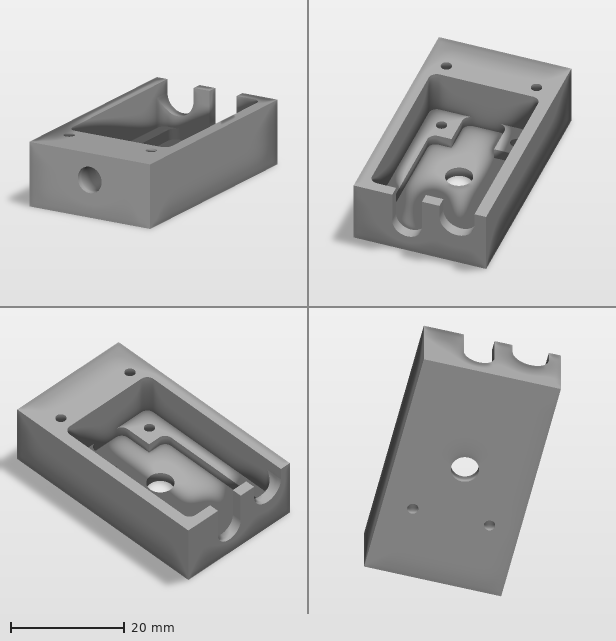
import cadquery as cq
import math

width = 25.0
length = 43.5
height = 12.0
centre_x = width / 2

back_wall = 2.0
front_wall = 9.6
pocket_width = 20.6
pocket_depth = 8.1
corner_radius = 1.5
pocket_back_y = length - back_wall

floor_thickness = 1.9
recess_depth = height - floor_thickness
recess_width = 16.0
recess_front_y = 16.5
channel_width = 8.0

floor_hole_diameter = 5.0
floor_hole_y = 23.5
ledge_hole_diameter = 2.01
ledge_hole_spacing = 14.0
ledge_hole_y = 13.5
cover_hole_diameter = 2.01
cover_hole_spacing = 17.0
cover_hole_y = 7.0
cover_hole_depth = 6.0

front_hole_diameter = 4.92
front_hole_z = 7.0
front_hole_depth = 6.0

drill_point_angle = 118.0
downward = (0, 0, -1)
backward = (0, 1, 0)

large_slot_width = 6.6
large_slot_x = (width - pocket_width + large_slot_width) / 2
large_slot_axis_z = 9.5
small_slot_width = 5.6
small_slot_offset = 2.4
small_slot_x = centre_x + small_slot_offset
small_slot_axis_z = 6.0


def open_box(box_width, front_y, back_y, depth):
    """Box centred across the block, sunk from the top face to a depth."""
    box_length = back_y - front_y
    return (
        cq.Workplane("XY")
        .box(box_width, box_length, depth, centered=(True, False, False))
        .translate((centre_x, front_y, height - depth))
    )


def drilled_hole(diameter, depth, origin, direction):
    """Blind hole: a cylinder of the given depth that ends in a drill point."""
    radius = diameter / 2
    point_length = radius / math.tan(math.radians(drill_point_angle / 2))
    start = cq.Vector(*origin)
    axis = cq.Vector(*direction)
    barrel = cq.Solid.makeCylinder(radius, depth, start, axis)
    point = cq.Solid.makeCone(radius, 0, point_length, start + axis * depth, axis)
    return cq.Workplane(obj=barrel.fuse(point))


def through_hole(diameter, x, y):
    """Vertical hole through the full height."""
    return cq.Workplane("XY").center(x, y).circle(diameter / 2).extrude(height)


def back_slot(slot_width, x, axis_z):
    """Slot through the back wall, open at the top, with a half-round bottom."""
    radius = slot_width / 2
    slot_length = back_wall + corner_radius
    return (
        cq.Workplane("XZ", origin=(x, length, 0))
        .moveTo(-radius, height)
        .lineTo(-radius, axis_z)
        .threePointArc((0, axis_z - radius), (radius, axis_z))
        .lineTo(radius, height)
        .close()
        .extrude(slot_length)
    )


def pocket():
    """Upper pocket, recess and channel as one cutting body."""
    upper = open_box(pocket_width, front_wall, pocket_back_y, pocket_depth)
    upper = upper.edges("|Z").fillet(corner_radius)
    recess = open_box(recess_width, recess_front_y, pocket_back_y, recess_depth)
    recess = recess.edges("|Z").fillet(corner_radius)
    channel_back_y = recess_front_y + corner_radius
    channel = open_box(channel_width, front_wall, channel_back_y, recess_depth)
    channel = channel.edges("|Z and <Y").fillet(corner_radius)
    return upper.union(recess).union(channel)


result = cq.Workplane("XY").box(width, length, height, centered=False)
result = result.cut(pocket())
result = result.cut(back_slot(large_slot_width, large_slot_x, large_slot_axis_z))
result = result.cut(back_slot(small_slot_width, small_slot_x, small_slot_axis_z))
result = result.cut(through_hole(floor_hole_diameter, centre_x, floor_hole_y))

for side in (-1, 1):
    ledge_hole_x = centre_x + side * ledge_hole_spacing / 2
    cover_hole_x = centre_x + side * cover_hole_spacing / 2
    cover_hole_top = (cover_hole_x, cover_hole_y, height)
    result = result.cut(through_hole(ledge_hole_diameter, ledge_hole_x, ledge_hole_y))
    cover_hole = drilled_hole(cover_hole_diameter, cover_hole_depth, cover_hole_top, downward)
    result = result.cut(cover_hole)

front_hole_mouth = (centre_x, 0, front_hole_z)
front_hole = drilled_hole(front_hole_diameter, front_hole_depth, front_hole_mouth, backward)
result = result.cut(front_hole)